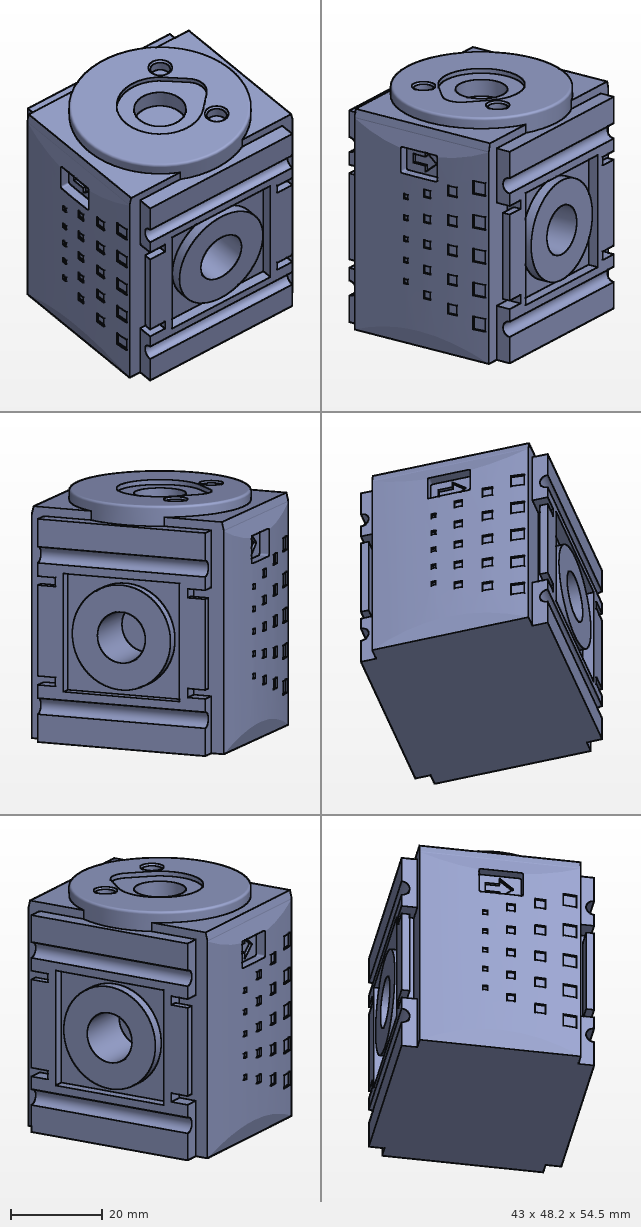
import cadquery as cq
import math

TOTAL_HEIGHT = 54.5
TOTAL_WIDTH = 43.0
TOTAL_LENGTH = 48.2
BODY_WIDTH = 35.95
BODY_HEIGHT = 52.0
RAIL_HEIGHT = 50.0
RAIL_LENGTH = 40.0
MID_HEIGHT = RAIL_HEIGHT / 2

DOME_RISE = 1.15
SLOPE_HEIGHT = 4.1
COLLAR_STEP = 0.2
COLLAR_TAPER = 0.45

DISC_DIAMETER = RAIL_LENGTH
DISC_EDGE_RADIUS = 0.6
RECESS_DIAMETER = 19.1
RECESS_TIP_DIAMETER = 8.4
RECESS_TIP_OFFSET = 7.8
RECESS_DEPTH = 1.1
BORE_DIAMETER = 11.45
TOP_BORE_DEPTH = 3.9
PIN_DIAMETER = 4.35
PIN_X = 9.9
PIN_Y = 8.0
PIN_DEPTH = 2.5
PIN_BEVEL = 0.45

GROOVE_DIAMETER = 3.6
GROOVE_SPACING = 33.9
SLOT_HEIGHT = 2.0
SLOT_LENGTH = 4.2
SLOT_SPACING = 22.35
HOOK_THICKNESS = 1.8

PORT_LENGTH = 27.7
PORT_HEIGHT = 26.5
PORT_DEPTH = 2.5
FLANGE_DIAMETER = 23.5
SIDE_BORE_DEPTH = 13.6

WINDOW_WIDTH = 9.8
WINDOW_HEIGHT = 6.15
WINDOW_Z = 43.45
WINDOW_DEPTH = 2.4
WINDOW_CORNER = 0.5
ARROW_LENGTH = 6.25
ARROW_HEAD_LENGTH = 3.05
ARROW_HEAD_WIDTH = 5.0
ARROW_TAIL_WIDTH = 2.1
ARROW_DEPTH = 0.7

DIMPLE_COLUMNS = [
    (-3.55, 1.1, 5.0),
    (2.2, 1.8, 6.0),
    (8.8, 2.35, 7.0),
    (15.55, 3.05, 8.0),
]
DIMPLES_PER_COLUMN = 5
DIMPLE_DEPTH = 0.5

HALF_WIDTH = TOTAL_WIDTH / 2
HALF_LENGTH = TOTAL_LENGTH / 2
HALF_BODY = BODY_WIDTH / 2
HALF_RAIL = RAIL_LENGTH / 2
EDGE_Y = HALF_LENGTH - DOME_RISE


def box(x_range, y_range, z_range):
    """Box spanning the given ranges along X, Y and Z."""
    (x0, x1), (y0, y1), (z0, z1) = x_range, y_range, z_range
    return cq.Workplane("XY").box(x1 - x0, y1 - y0, z1 - z0, centered=False).translate((x0, y0, z0))


def both_sides(shape):
    """The shape together with its copy turned half a turn about Z."""
    return shape.union(shape.rotate((0, 0, 0), (0, 0, 1), 180))


def domed_block(inset):
    """Full-height block between the two dome faces, both moved inward by the inset."""
    edge_y = EDGE_Y - inset
    crown_y = HALF_LENGTH - inset
    return (
        cq.Workplane("XY")
        .moveTo(-HALF_BODY, -edge_y)
        .threePointArc((0, -crown_y), (HALF_BODY, -edge_y))
        .lineTo(HALF_BODY, edge_y)
        .threePointArc((0, crown_y), (-HALF_BODY, edge_y))
        .close()
        .extrude(BODY_HEIGHT)
    )


def make_body():
    """Block with bulging -Y and +Y faces, sloped back at the top and bottom."""
    half_outline = [
        (EDGE_Y, 0),
        (HALF_LENGTH, SLOPE_HEIGHT),
        (HALF_LENGTH, RAIL_HEIGHT - SLOPE_HEIGHT),
        (EDGE_Y, RAIL_HEIGHT),
        (EDGE_Y, RAIL_HEIGHT + COLLAR_STEP),
        (EDGE_Y - COLLAR_TAPER, BODY_HEIGHT),
    ]
    mirrored = [(-y, z) for y, z in reversed(half_outline)]
    side = cq.Workplane("YZ").polyline(half_outline + mirrored).close().extrude(HALF_BODY, both=True)
    return domed_block(0).intersect(side)


def make_rails():
    """Slab across the body that stands out as a rail on each X side."""
    return cq.Workplane("XY").box(TOTAL_WIDTH, RAIL_LENGTH, RAIL_HEIGHT, centered=(True, True, False))


def make_disc():
    """Round top disc, sunk into the body, with a rounded upper rim."""
    return (
        cq.Workplane("XY", origin=(0, 0, MID_HEIGHT))
        .circle(DISC_DIAMETER / 2)
        .extrude(TOTAL_HEIGHT - MID_HEIGHT)
        .faces(">Z")
        .edges()
        .fillet(DISC_EDGE_RADIUS)
    )


def top_cuts():
    """Teardrop recess with a bore in its floor, and two bevelled pin holes."""
    big = RECESS_DIAMETER / 2
    tip = RECESS_TIP_DIAMETER / 2
    tangent = math.asin((big - tip) / RECESS_TIP_OFFSET)
    nx = math.cos(tangent)
    ny = math.sin(tangent)
    recess_floor = TOTAL_HEIGHT - RECESS_DEPTH
    recess = (
        cq.Workplane("XY", origin=(0, 0, recess_floor))
        .moveTo(-big * nx, big * ny)
        .threePointArc((0, -big), (big * nx, big * ny))
        .lineTo(tip * nx, RECESS_TIP_OFFSET + tip * ny)
        .threePointArc((0, RECESS_TIP_OFFSET + tip), (-tip * nx, RECESS_TIP_OFFSET + tip * ny))
        .close()
        .extrude(RECESS_DEPTH)
    )
    bore = cq.Workplane("XY", origin=(0, 0, recess_floor)).circle(BORE_DIAMETER / 2).extrude(-TOP_BORE_DEPTH)
    cuts = recess.union(bore)
    pin = PIN_DIAMETER / 2
    bevel = cq.Workplane(cq.Solid.makeCone(pin, pin + PIN_BEVEL, PIN_BEVEL))
    pin_hole = (
        cq.Workplane("XY", origin=(0, 0, TOTAL_HEIGHT))
        .circle(pin)
        .extrude(-PIN_DEPTH)
        .union(bevel.translate((0, 0, TOTAL_HEIGHT - PIN_BEVEL)))
    )
    for x in (-PIN_X, PIN_X):
        cuts = cuts.union(pin_hole.translate((x, PIN_Y, 0)))
    return cuts


def rail_cuts():
    """Round grooves along Y and hook-shaped clip slots at the ends of the -X rail."""
    cuts = cq.Workplane("XY")
    for z in (MID_HEIGHT - GROOVE_SPACING / 2, MID_HEIGHT + GROOVE_SPACING / 2):
        groove = (
            cq.Workplane("XZ", origin=(-HALF_WIDTH, 0, z))
            .circle(GROOVE_DIAMETER / 2)
            .extrude(HALF_RAIL, both=True)
        )
        cuts = cuts.union(groove)

    slot_y = (HALF_RAIL - SLOT_LENGTH, HALF_RAIL)
    slot_bottoms = [MID_HEIGHT + side * SLOT_SPACING / 2 - SLOT_HEIGHT / 2 for side in (-1, 1)]
    channel_z = (slot_bottoms[0], slot_bottoms[1] + SLOT_HEIGHT)
    clip = box((-HALF_WIDTH + HOOK_THICKNESS, -HALF_BODY), slot_y, channel_z)
    for z in slot_bottoms:
        clip = clip.union(box((-HALF_WIDTH, -HALF_BODY), slot_y, (z, z + SLOT_HEIGHT)))
    return cuts.union(clip).union(clip.mirror("XZ"))


def port_cuts():
    """Rectangular pocket in the -X rail around a flush flange with a blind bore."""
    port_plane = cq.Workplane("YZ", origin=(-HALF_WIDTH, 0, MID_HEIGHT))
    pocket = port_plane.rect(PORT_LENGTH, PORT_HEIGHT).extrude(PORT_DEPTH)
    flange = port_plane.circle(FLANGE_DIAMETER / 2).extrude(PORT_DEPTH)
    bore = port_plane.circle(BORE_DIAMETER / 2).extrude(SIDE_BORE_DEPTH)
    return pocket.cut(flange).union(bore)


def window_cut():
    """Window in the -Y face with a flow arrow engraved in its floor."""
    floor_y = -HALF_LENGTH + WINDOW_DEPTH
    floor_plane = cq.Workplane("XZ", origin=(0, floor_y, WINDOW_Z))
    window = (
        floor_plane.rect(WINDOW_WIDTH, WINDOW_HEIGHT)
        .extrude(WINDOW_DEPTH)
        .edges("|Y")
        .fillet(WINDOW_CORNER)
    )
    tip = ARROW_LENGTH / 2
    neck = tip - ARROW_HEAD_LENGTH
    upper_half = [
        (-tip, ARROW_TAIL_WIDTH / 2),
        (neck, ARROW_TAIL_WIDTH / 2),
        (neck, ARROW_HEAD_WIDTH / 2),
    ]
    lower_half = [(x, -z) for x, z in reversed(upper_half)]
    arrow = floor_plane.polyline(upper_half + [(tip, 0)] + lower_half).close().extrude(-ARROW_DEPTH)
    return window.union(arrow)


def dimple_cuts():
    """Columns of square dimples that grow toward +X, with floors parallel to the -Y dome."""
    cuts = cq.Workplane("XY")
    for x, side, pitch in DIMPLE_COLUMNS:
        column = (
            cq.Workplane("XZ", origin=(x, 0, MID_HEIGHT))
            .rarray(0.55, pitch, 1, DIMPLES_PER_COLUMN)
            .rect(side, side)
            .extrude(HALF_LENGTH)
        )
        cuts = cuts.union(column)
    return cuts.cut(domed_block(DIMPLE_DEPTH))


result = make_body().union(make_rails()).union(make_disc())
result = result.cut(top_cuts())
for side_cuts in (rail_cuts(), port_cuts(), window_cut(), dimple_cuts()):
    result = result.cut(both_sides(side_cuts))